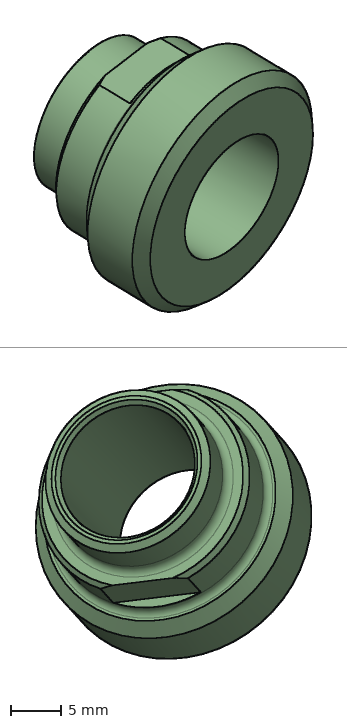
import cadquery as cq

total_length = 19.0
collar_start = 5.05
flat_end = 9.59
flange_start = 10.5

bore_radius = 14.0 / 2
spigot_radius = 17.2 / 2
collar_radius = 11.0
flange_radius = 13.42

bore_chamfer = 0.43
spigot_chamfer_length = 0.45
spigot_chamfer_depth = 0.78
spigot_fillet = 0.83
collar_chamfer = 0.5
collar_fillet = 0.75
flange_chamfer = 1.35
flange_end_chamfer = 1.25

flat_height = 10.02


def turned_body():
    """Revolve the stepped outline around the X axis, with its bore."""
    profile = (
        cq.Workplane("XY")
        .moveTo(bore_chamfer, bore_radius)
        .lineTo(0, bore_radius + bore_chamfer)
        .lineTo(0, spigot_radius - spigot_chamfer_depth)
        .lineTo(spigot_chamfer_length, spigot_radius)
        .lineTo(collar_start - spigot_fillet, spigot_radius)
        .radiusArc((collar_start, spigot_radius + spigot_fillet), -spigot_fillet)
        .lineTo(collar_start, collar_radius - collar_chamfer)
        .lineTo(collar_start + collar_chamfer, collar_radius)
        .lineTo(flange_start - collar_fillet, collar_radius)
        .radiusArc((flange_start, collar_radius + collar_fillet), -collar_fillet)
        .lineTo(flange_start, flange_radius - flange_chamfer)
        .lineTo(flange_start + flange_chamfer, flange_radius)
        .lineTo(total_length - flange_end_chamfer, flange_radius)
        .lineTo(total_length, flange_radius - flange_end_chamfer)
        .lineTo(total_length, bore_radius)
        .close()
    )
    return profile.revolve(360, (0, 0, 0), (1, 0, 0))


def flat_cutter(side):
    """Block that removes the collar beyond one flat; side is +1 or -1 along Z."""
    depth = flange_radius - flat_height
    return cq.Workplane("XY").box(
        flat_end - collar_start, 2 * flange_radius, depth, centered=(False, True, True)
    ).translate((collar_start, 0, side * (flat_height + depth / 2)))


result = turned_body()
for side in (1, -1):
    result = result.cut(flat_cutter(side))

result = result.translate((-total_length / 2, 0, 0))